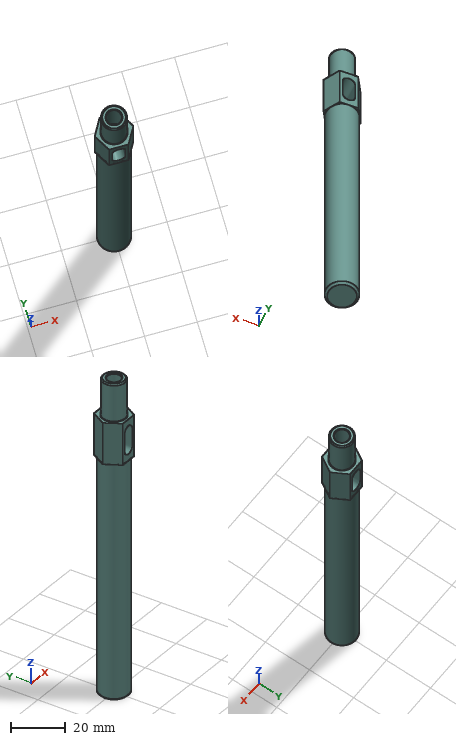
import cadquery as cq
import math

total_length = 135.2
hex_bottom = 101.7
hex_top = 119.5

hex_across_flats = 12.7
hex_across_corners = hex_across_flats / math.cos(math.pi / 6)
body_diameter = hex_across_flats
body_chamfer = 1.0

stud_diameter = 9.6
stud_chamfer = 0.5
recess_diameter = 10.1
recess_depth = 0.3

bore_diameter = 5.7
bore_chamfer = 0.3
bore_bottom = 119.7
drill_tip_angle = 118.0

slot_width = 4.9
slot_length = 12.2
slot_center = 110.6


def cylinder(diameter, bottom, top):
    return cq.Workplane("XY").workplane(offset=bottom).circle(diameter / 2).extrude(top - bottom)


def make_collar():
    collar = (
        cq.Workplane("XY")
        .workplane(offset=hex_bottom)
        .polygon(6, hex_across_corners)
        .extrude(hex_top - hex_bottom)
    )
    return collar.cut(cylinder(recess_diameter, hex_top - recess_depth, hex_top))


def make_bore():
    radius = bore_diameter / 2
    tip_depth = radius / math.tan(math.radians(drill_tip_angle / 2))
    profile = [
        (0, bore_bottom - tip_depth),
        (radius, bore_bottom),
        (radius, total_length - bore_chamfer),
        (radius + bore_chamfer, total_length),
        (0, total_length),
    ]
    return cq.Workplane("XZ").polyline(profile).close().revolve(360, (0, 0, 0), (0, 1, 0))


def make_slot():
    return (
        cq.Workplane("XZ")
        .center(0, slot_center)
        .slot2D(slot_length, slot_width, 90)
        .extrude(hex_across_flats, both=True)
    )


body = cylinder(body_diameter, 0, hex_bottom).faces("<Z").chamfer(body_chamfer)
stud = cylinder(stud_diameter, hex_top - recess_depth, total_length).faces(">Z").chamfer(stud_chamfer)

result = body.union(make_collar()).union(stud).cut(make_bore()).cut(make_slot())